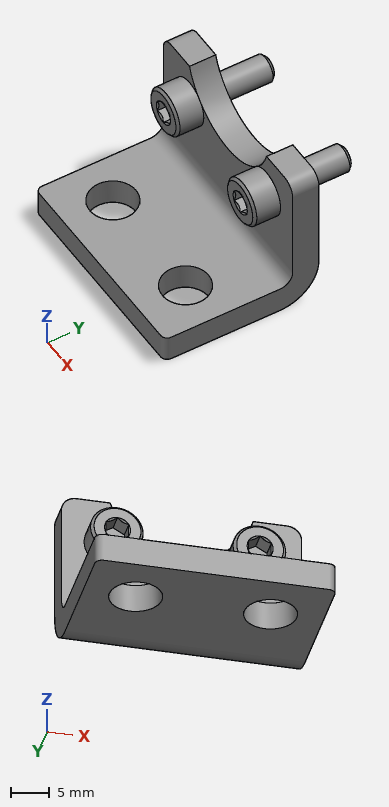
import cadquery as cq
import math

width = 32.0
thickness = 4.0
height = 22.0
depth = 23.5
inner_bend_radius = 2.0
outer_bend_radius = inner_bend_radius + thickness
top_corner_radius = 2.0
front_corner_radius = 1.0

saddle_radius = 10.0
saddle_bottom = 15.0
saddle_center_height = saddle_bottom + saddle_radius

mount_hole_diameter = 7.0
mount_hole_spacing = 18.0
mount_hole_y = -16.0

screw_spacing = 19.0
screw_height = 15.5
shank_diameter = 4.0
shank_length = 12.0
tip_chamfer = 0.5
head_diameter = 7.0
head_height = 4.0
head_chamfer = 0.4
socket_mouth_diameter = 3.45
socket_flats = 3.0
socket_depth = 2.5
lead_in_depth = 0.25


def pair_positions(spacing):
    """X positions of two features placed symmetrically about the middle."""
    return [-spacing / 2, spacing / 2]


def along_y(x, y, z):
    """Workplane at the given point with its normal along +Y."""
    return cq.Workplane(cq.Plane(origin=(x, y, z), xDir=(1, 0, 0), normal=(0, 1, 0)))


def make_bracket():
    bend_diagonal = math.sqrt(0.5)
    bend_y = -outer_bend_radius
    bend_z = outer_bend_radius
    outer_mid = (bend_y + outer_bend_radius * bend_diagonal, bend_z - outer_bend_radius * bend_diagonal)
    inner_mid = (bend_y + inner_bend_radius * bend_diagonal, bend_z - inner_bend_radius * bend_diagonal)
    bracket = (
        cq.Workplane("YZ")
        .moveTo(-depth, 0)
        .lineTo(bend_y, 0)
        .threePointArc(outer_mid, (0, bend_z))
        .lineTo(0, height)
        .lineTo(-thickness, height)
        .lineTo(-thickness, bend_z)
        .threePointArc(inner_mid, (bend_y, thickness))
        .lineTo(-depth, thickness)
        .close()
        .extrude(width / 2, both=True)
    )

    bracket = bracket.faces(">Z").edges("|Y").fillet(top_corner_radius)
    bracket = bracket.faces("<Y").edges("|Z").fillet(front_corner_radius)

    saddle = along_y(0, -thickness, saddle_center_height).circle(saddle_radius).extrude(thickness)
    bracket = bracket.cut(saddle)

    for x in pair_positions(mount_hole_spacing):
        hole = cq.Workplane("XY").center(x, mount_hole_y).circle(mount_hole_diameter / 2).extrude(thickness)
        bracket = bracket.cut(hole)

    for x in pair_positions(screw_spacing):
        hole = along_y(x, -thickness, screw_height).circle(shank_diameter / 2).extrude(thickness)
        bracket = bracket.cut(hole)
    return bracket


def make_screw(x):
    head_front = -thickness - head_height
    head = (
        along_y(x, head_front, screw_height)
        .circle(head_diameter / 2)
        .extrude(head_height)
        .faces("<Y")
        .chamfer(head_chamfer)
    )
    shank = (
        along_y(x, -thickness, screw_height)
        .circle(shank_diameter / 2)
        .extrude(shank_length)
        .faces(">Y")
        .chamfer(tip_chamfer)
    )
    socket = (
        along_y(x, head_front, screw_height)
        .polygon(6, socket_flats, circumscribed=True)
        .extrude(socket_depth)
    )
    lead_in = (
        along_y(x, head_front, screw_height)
        .circle(socket_mouth_diameter / 2)
        .workplane(offset=lead_in_depth)
        .circle(socket_flats / 2)
        .loft()
    )
    return head.union(shank).cut(socket).cut(lead_in)


bracket = make_bracket()
screws = [make_screw(x) for x in pair_positions(screw_spacing)]

result = cq.Compound.makeCompound([bracket.val(), *[screw.val() for screw in screws]])